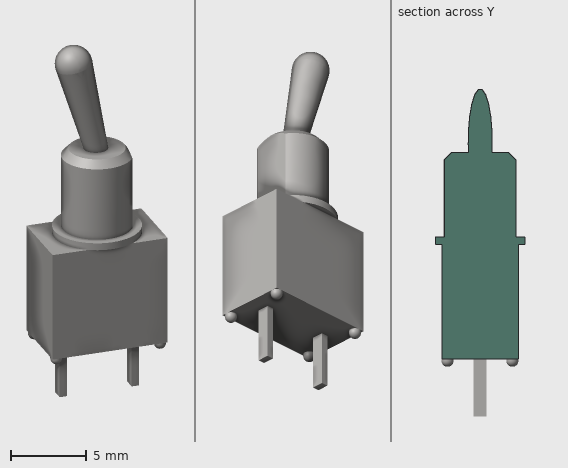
import cadquery as cq
import math

total_height = 25.15

body_width = 5.1
body_depth = 8.12
body_height = 7.6

pin_width = 0.85
pin_thickness = 0.5
pin_length = 3.82
pin_pitch = 5.08

standoff_radius = 0.4
standoff_shank = 0.13

flange_diameter = 5.98
flange_thickness = 0.5
bushing_diameter = 4.8
bushing_height = 5.6
bushing_chamfer = 0.5
flat_distance = 2.0

lever_tilt = 14.0
ball_radius = 1.25
lever_pivot_radius = 0.78
pivot_depth = 0.25

body_bottom = pin_length
body_top = body_bottom + body_height
flange_top = body_top + flange_thickness
bushing_top = flange_top + bushing_height
pivot_level = bushing_top - pivot_depth


def make_body():
    return (
        cq.Workplane("XY", origin=(0, 0, body_bottom))
        .box(body_width, body_depth, body_height, centered=(True, True, False))
    )


def make_pins():
    return (
        cq.Workplane("XY")
        .rarray(0.25, pin_pitch, 1, 2)
        .rect(pin_width, pin_thickness)
        .extrude(pin_length)
    )


def make_standoff(x, y):
    """Short cylinder ending in a hemisphere, pointing down."""
    shank_end = -standoff_shank
    arc_offset = standoff_radius * math.sqrt(0.5)
    return (
        cq.Workplane("XZ")
        .lineTo(standoff_radius, 0)
        .lineTo(standoff_radius, shank_end)
        .threePointArc((arc_offset, shank_end - arc_offset), (0, shank_end - standoff_radius))
        .close()
        .revolve(360, (0, 0), (0, 1))
        .translate((x, y, body_bottom))
    )


def make_flange():
    return (
        cq.Workplane("XY", origin=(0, 0, body_top))
        .circle(flange_diameter / 2)
        .extrude(flange_thickness)
    )


def make_bushing():
    """Chamfered cylinder trimmed by a vertical flat on the +Y side."""
    bushing = (
        cq.Workplane("XY", origin=(0, 0, flange_top))
        .circle(bushing_diameter / 2)
        .extrude(bushing_height)
        .faces(">Z")
        .chamfer(bushing_chamfer)
    )
    trim = (
        cq.Workplane("XY", origin=(0, flat_distance, flange_top))
        .box(bushing_diameter, bushing_diameter, bushing_height, centered=(True, False, False))
    )
    return bushing.cut(trim)


def make_lever():
    """Cone running tangentially into a ball, tilted about its pivot."""
    tilt = math.radians(lever_tilt)
    ball_distance = (total_height - ball_radius - pivot_level) / math.cos(tilt)

    taper = (
        math.asin(ball_radius / math.hypot(ball_distance, lever_pivot_radius))
        - math.atan2(lever_pivot_radius, ball_distance)
    )
    tangent_radius = ball_radius * math.cos(taper)
    tangent_height = ball_distance - ball_radius * math.sin(taper)
    arc_offset = ball_radius * math.sqrt(0.5)
    return (
        cq.Workplane("XZ")
        .lineTo(lever_pivot_radius, 0)
        .lineTo(tangent_radius, tangent_height)
        .threePointArc((arc_offset, ball_distance + arc_offset), (0, ball_distance + ball_radius))
        .close()
        .revolve(360, (0, 0), (0, 1))
        .rotate((0, 0, 0), (1, 0, 0), lever_tilt)
        .translate((0, 0, pivot_level))
    )


result = make_body().union(make_pins()).union(make_flange()).union(make_bushing()).union(make_lever())

standoff_x = body_width / 2 - standoff_radius
standoff_y = body_depth / 2 - standoff_radius
for x_side in (-1, 1):
    for y_side in (-1, 1):
        result = result.union(make_standoff(x_side * standoff_x, y_side * standoff_y))